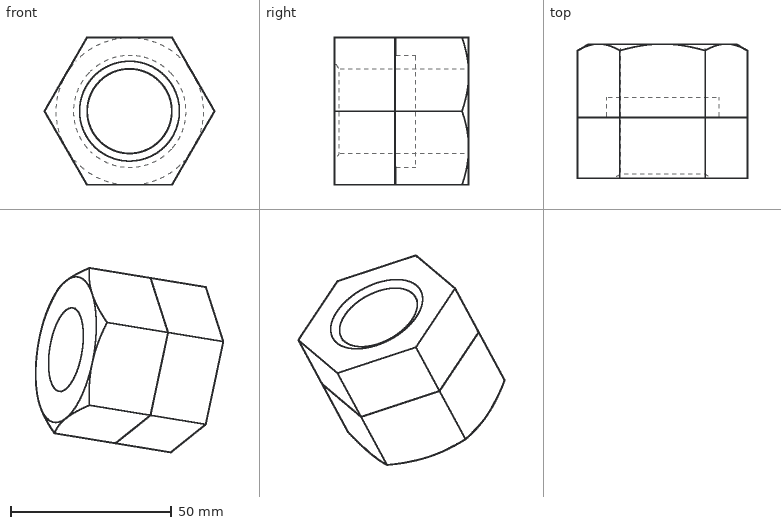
import cadquery as cq
import math

corner_width = 53.1
flat_width = corner_width * math.cos(math.radians(30))
total_length = 41.9
front_length = 18.9
joint_gap = 0.1
rear_start = front_length + joint_gap
rear_length = total_length - rear_start

bore_diameter = 26.35
countersink_diameter = 31.2
countersink_angle = 60.0
crown_angle = 30.0

boss_diameter = 35.05
boss_length = 6.4


def hexagon(y_start, length):
    """Hexagonal prism along +Y with two of its corners on the X axis."""
    return cq.Workplane("XZ", origin=(0, y_start, 0)).polygon(6, corner_width).extrude(-length)


def cylinder(y_start, diameter, length):
    """Cylinder on the nut axis, running along +Y."""
    return cq.Workplane("XZ", origin=(0, y_start, 0)).circle(diameter / 2).extrude(-length)


def turned(profile):
    """Solid of revolution about Y from (radius, y) points."""
    return cq.Workplane("XY").polyline(profile).close().revolve(360, (0, 0), (0, 1))


def bore_countersink():
    """Cone that widens the mouth of the bore at the front face."""
    bore_radius = bore_diameter / 2
    mouth_radius = countersink_diameter / 2
    depth = (mouth_radius - bore_radius) / math.tan(math.radians(countersink_angle))
    return turned([(0, 0), (mouth_radius, 0), (bore_radius, depth), (0, depth)])


def crown_envelope():
    """Turned blank whose rear cone starts on the flats and cuts back the corners."""
    corner_radius = corner_width / 2
    end_radius = flat_width / 2
    crown_height = (corner_radius - end_radius) * math.tan(math.radians(crown_angle))
    blank_radius = 2 * corner_radius - end_radius
    shoulder = total_length - 2 * crown_height
    return turned(
        [
            (0, rear_start),
            (blank_radius, rear_start),
            (blank_radius, shoulder),
            (end_radius, total_length),
            (0, total_length),
        ]
    )


def make_front_nut(boss, bore):
    """Plain hexagon with the boss at its rear and a countersunk bore."""
    return hexagon(0, front_length).union(boss).cut(bore).cut(bore_countersink())


def make_rear_nut(boss, bore):
    """Crowned hexagon with a recess that fits the boss."""
    return hexagon(rear_start, rear_length).intersect(crown_envelope()).cut(boss).cut(bore)


boss = cylinder(front_length, boss_diameter, boss_length)
bore = cylinder(0, bore_diameter, total_length)
front_nut = make_front_nut(boss, bore)
rear_nut = make_rear_nut(boss, bore)

result = cq.Compound.makeCompound([front_nut.solids().val(), rear_nut.solids().val()])